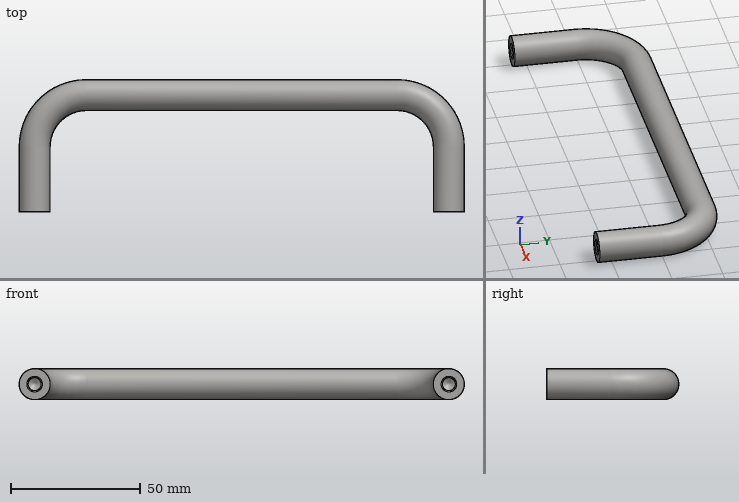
import cadquery as cq
import math

overall_length = 172.0
overall_depth = 51.0
rod_diameter = 12.0
bend_radius = 20.0

hole_diameter = 5.0
hole_depth = 12.0
drill_point_angle = 118.0
countersink_diameter = 6.0
countersink_depth = (countersink_diameter - hole_diameter) / 2
drill_point_depth = hole_diameter / 2 / math.tan(math.radians(drill_point_angle / 2))

rod_radius = rod_diameter / 2
leg_x = overall_length / 2 - rod_radius
grip_y = overall_depth - rod_radius
bend_start_y = grip_y - bend_radius
bend_end_x = leg_x - bend_radius


def make_rod():
    """Sweep the round section up one leg, along the grip and down the other."""
    centreline = (
        cq.Workplane("XY")
        .moveTo(-leg_x, 0)
        .lineTo(-leg_x, bend_start_y)
        .tangentArcPoint((-bend_end_x, grip_y), relative=False)
        .lineTo(bend_end_x, grip_y)
        .tangentArcPoint((leg_x, bend_start_y), relative=False)
        .lineTo(leg_x, 0)
    )
    section = cq.Workplane("XZ", origin=(-leg_x, 0, 0)).circle(rod_radius)
    return section.sweep(centreline)


def make_foot_hole(x):
    """Drilled hole running in +Y, with a conical bottom and a 45 degree countersink at its mouth."""
    mouth = cq.Vector(x, 0, 0)
    inward = cq.Vector(0, 1, 0)
    bore = cq.Solid.makeCylinder(hole_diameter / 2, hole_depth, mouth, inward)
    countersink = cq.Solid.makeCone(
        countersink_diameter / 2, hole_diameter / 2, countersink_depth, mouth, inward
    )
    drill_point = cq.Solid.makeCone(
        hole_diameter / 2, 0, drill_point_depth, mouth + inward * hole_depth, inward
    )
    return bore.fuse(countersink, drill_point)


result = make_rod()
for foot_x in (-leg_x, leg_x):
    result = result.cut(cq.Workplane(obj=make_foot_hole(foot_x)))